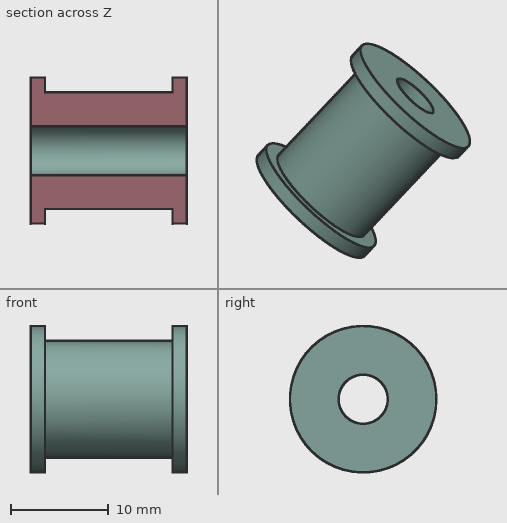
import cadquery as cq

overall_length = 16.0
flange_diameter = 15.0
flange_thickness = 1.5
barrel_diameter = 12.0
bore_diameter = 5.0

barrel_length = overall_length - 2 * flange_thickness


def cylinder_along_x(start_x, diameter, length):
    """Solid cylinder centred on the X axis, running in +X from start_x."""
    return cq.Workplane("YZ").workplane(offset=start_x).circle(diameter / 2).extrude(length)


left_end = -overall_length / 2
left_shoulder = left_end + flange_thickness
right_shoulder = left_shoulder + barrel_length

body = cylinder_along_x(left_shoulder, barrel_diameter, barrel_length)

for flange_start in (left_end, right_shoulder):
    body = body.union(cylinder_along_x(flange_start, flange_diameter, flange_thickness))

bore = cylinder_along_x(left_end, bore_diameter, overall_length)
result = body.cut(bore)